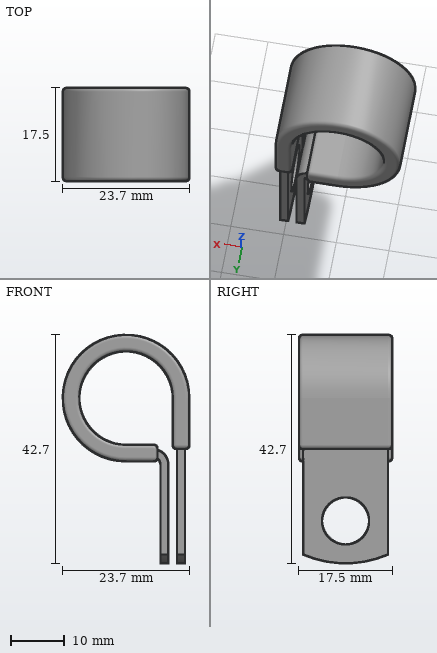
import cadquery as cq
import math


strap_thickness = 1.52
strap_width = 15.84
leg_gap = 1.59
leg_bottom = -30.865
tip_rise = 1.65
bend_inner_radius = 1.4

cushion_wall = 0.81
edge_rounding = 0.76
bore_radius = 8.695
bottom_run_end = 5.9
side_run_end = -9.53

hole_diameter = 8.73
hole_to_tip = 7.94

cushion_thickness = strap_thickness + 2 * cushion_wall
cushion_width = strap_width + 2 * cushion_wall
outer_radius = bore_radius + cushion_thickness
strap_inner_radius = bore_radius + cushion_wall
strap_outer_radius = strap_inner_radius + strap_thickness
inner_leg_right = strap_inner_radius - leg_gap
inner_leg_left = inner_leg_right - strap_thickness
bend_outer_radius = bend_inner_radius + strap_thickness
bend_x = inner_leg_left - bend_inner_radius
bend_z = -strap_outer_radius - bend_inner_radius
hole_z = leg_bottom + hole_to_tip

loop_middle = 135
bend_middle = 45


def on_arc(radius, degrees, center_x=0, center_z=0):
    """Point on a circle in the XZ plane."""
    angle = math.radians(degrees)
    return (center_x + radius * math.cos(angle), center_z + radius * math.sin(angle))


def extrude_symmetric(profile, width):
    """Extrude a closed XZ profile symmetrically along Y."""
    return profile.extrude(width / 2, both=True)


def make_cushion():
    """Three-quarter ring with a straight run at each end, all outer edges rounded."""
    profile = (
        cq.Workplane("XZ")
        .moveTo(outer_radius, side_run_end)
        .lineTo(outer_radius, 0)
        .threePointArc(on_arc(outer_radius, loop_middle), (0, -outer_radius))
        .lineTo(bottom_run_end, -outer_radius)
        .lineTo(bottom_run_end, -bore_radius)
        .lineTo(0, -bore_radius)
        .threePointArc(on_arc(bore_radius, loop_middle), (bore_radius, 0))
        .lineTo(bore_radius, side_run_end)
        .close()
    )
    ring = extrude_symmetric(profile, cushion_width)
    return ring.edges().fillet(edge_rounding)


def make_strap():
    """Bent strip that follows the middle of the cushion and ends in two parallel legs."""
    bend_inner_point = on_arc(bend_inner_radius, bend_middle, bend_x, bend_z)
    bend_outer_point = on_arc(bend_outer_radius, bend_middle, bend_x, bend_z)
    profile = (
        cq.Workplane("XZ")
        .moveTo(strap_outer_radius, leg_bottom)
        .lineTo(strap_outer_radius, 0)
        .threePointArc(on_arc(strap_outer_radius, loop_middle), (0, -strap_outer_radius))
        .lineTo(bend_x, -strap_outer_radius)
        .threePointArc(bend_inner_point, (inner_leg_left, bend_z))
        .lineTo(inner_leg_left, leg_bottom)
        .lineTo(inner_leg_right, leg_bottom)
        .lineTo(inner_leg_right, bend_z)
        .threePointArc(bend_outer_point, (bend_x, -strap_inner_radius))
        .lineTo(0, -strap_inner_radius)
        .threePointArc(on_arc(strap_inner_radius, loop_middle), (strap_inner_radius, 0))
        .lineTo(strap_inner_radius, leg_bottom)
        .close()
    )
    return extrude_symmetric(profile, strap_width)


def make_leg_outline():
    """Block with the legs' side outline: straight sides and an arc at the bottom."""
    half_width = strap_width / 2
    return (
        cq.Workplane("YZ")
        .moveTo(-half_width, outer_radius)
        .lineTo(-half_width, leg_bottom + tip_rise)
        .threePointArc((0, leg_bottom), (half_width, leg_bottom + tip_rise))
        .lineTo(half_width, outer_radius)
        .close()
        .extrude(outer_radius, both=True)
    )


def make_screw_hole():
    """Cylinder along X that passes through both legs."""
    return (
        cq.Workplane("YZ")
        .center(0, hole_z)
        .circle(hole_diameter / 2)
        .extrude(outer_radius, both=True)
    )


strap = make_strap().intersect(make_leg_outline()).cut(make_screw_hole())
result = make_cushion().union(strap)